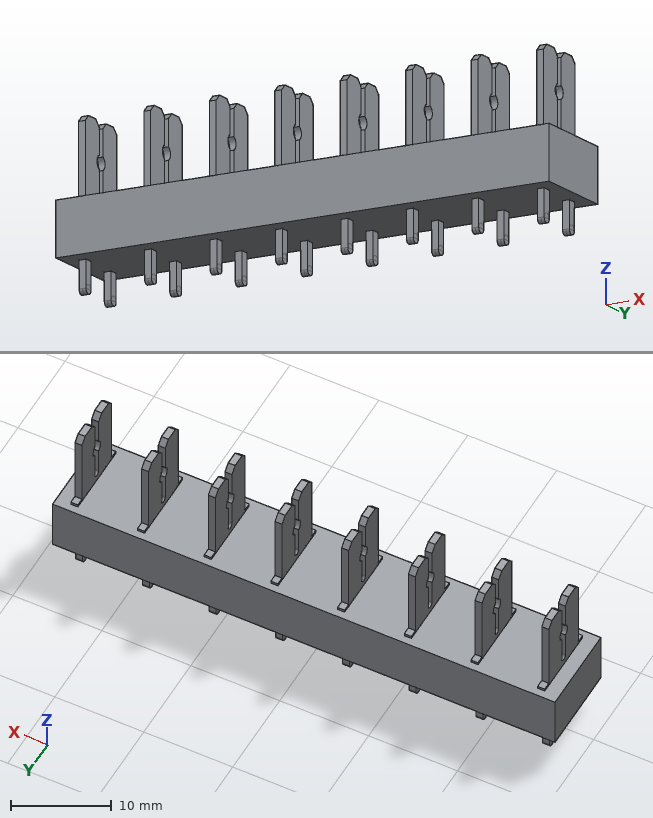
import cadquery as cq

housing_length = 56.5
housing_depth = 9.8
housing_height = 6.0

terminal_count = 8
row_span = 52.5
terminal_pitch = row_span / (terminal_count - 1)
terminal_thickness = 0.8

blade_height = 9.0
blade_width = 6.3
blade_corner = 0.7
shoulder_width = 8.1
shoulder_height = 0.3

slot_width = 0.75
slot_floor = 0.7
eye_diameter = 1.6
eye_height = 4.7

leg_width = 1.0
leg_spacing = 5.05
leg_projection = 3.5
leg_tip_radius = leg_width / 2

terminal_row = [index * terminal_pitch - row_span / 2 for index in range(terminal_count)]
leg_places = [-leg_spacing / 2, leg_spacing / 2]


def plate(width, bottom, top, y=0.0):
    """Flat rectangle in the YZ plane, as thick as a terminal and centred on X = 0."""
    height = top - bottom
    return cq.Workplane("XY").box(terminal_thickness, width, height).translate((0, y, bottom + height / 2))


def cross_cylinder(radius, y, z):
    """Cylinder along X, as long as a terminal is thick and centred on X = 0."""
    disc = cq.Workplane("YZ").center(y, z).circle(radius)
    return disc.extrude(terminal_thickness / 2, both=True)


def slot_cutter():
    """Open-topped slot with a round end and a round eye partway up."""
    slot_radius = slot_width / 2
    end_centre = housing_height + slot_floor + slot_radius
    slot = plate(slot_width, end_centre, housing_height + blade_height)
    round_features = [
        (end_centre, slot_radius),
        (housing_height + eye_height, eye_diameter / 2),
    ]
    for height, radius in round_features:
        slot = slot.union(cross_cylinder(radius, 0, height))
    return slot


def make_terminal():
    """Split blade on a shoulder that sits on the housing, with two round-ended legs through the housing."""
    blade = plate(blade_width, housing_height, housing_height + blade_height)
    blade = blade.cut(slot_cutter()).faces(">Z").edges("|X").chamfer(blade_corner)
    terminal = blade.union(plate(shoulder_width, housing_height, housing_height + shoulder_height))
    for y in leg_places:
        tip_centre = leg_tip_radius - leg_projection
        leg = plate(leg_width, tip_centre, housing_height, y)
        terminal = terminal.union(leg).union(cross_cylinder(leg_tip_radius, y, tip_centre))
    return terminal


def make_housing():
    """Bar with a pair of rectangular through holes for the legs of each terminal."""
    bar = cq.Workplane("XY").box(housing_length, housing_depth, housing_height, centered=(True, True, False))
    hole_places = [(x, y) for x in terminal_row for y in leg_places]
    leg_holes = (
        cq.Workplane("XY")
        .pushPoints(hole_places)
        .rect(terminal_thickness, leg_width)
        .extrude(housing_height)
    )
    return bar.cut(leg_holes)


housing = make_housing()
terminal = make_terminal()
terminals = [terminal.translate((x, 0, 0)).val() for x in terminal_row]

result = cq.Compound.makeCompound([housing.val(), *terminals])